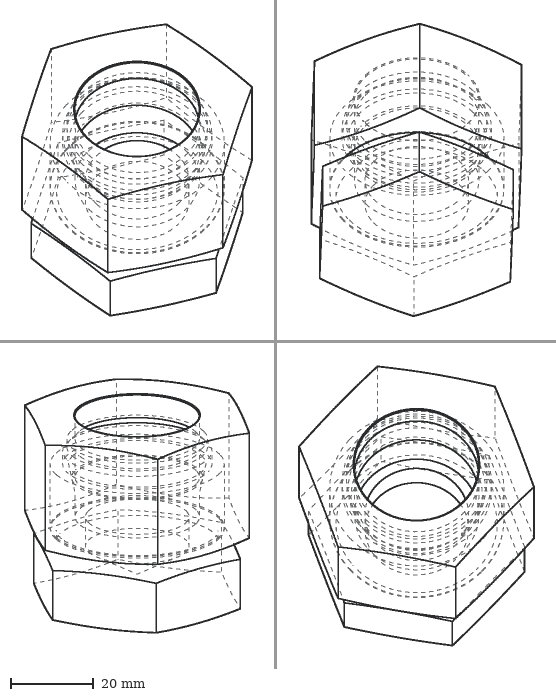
import cadquery as cq
import math


nut_corner_dia = 57.75
nut_height = 29.0
nut_chamfer_angle = 15.0
plug_flat_width = 46.0
plug_corner_dia = plug_flat_width / math.cos(math.radians(30))
plug_hex_height = 13.95
plug_chamfer_angle = 10.0

hex_gap = 4.05
nut_bottom = plug_hex_height + hex_gap
total_height = nut_bottom + nut_height
shoulder_z = total_height - 6.05
ring_top = total_height - 8.1
ring_bottom = total_height - 15.9
spigot_top = total_height - 12.4
seat_bottom = total_height - 19.15
lead_bottom = total_height - 20.1
tube_stop_z = total_height - 26.0
drill_bottom = total_height - 33.5

tube_radius = 30.0 / 2
tube_chamfer = 0.25
recess_radius = 17.0
collar_radius = 36.0 / 2
spigot_radius = 42.0 / 2
neck_radius = 39.0 / 2
neck_fillet = 1.0
neck_cover = 0.4
drill_radius = 25.0 / 2
ring_edge_radius = 0.6
seat_end_radius = 15.1

seat_angle = 12.0
drill_tip_angle = 30.0
drill_tip_z = drill_bottom - drill_radius * math.tan(math.radians(drill_tip_angle))
collar_cone_bottom = ring_top - (collar_radius - recess_radius)
neck_fillet_top = nut_bottom + neck_cover


def seat_radius(z):
    """Radius of the sealing cone at height z."""
    return seat_end_radius + (z - seat_bottom) * math.tan(math.radians(seat_angle))


def revolve_profile(points):
    """Turn a closed (radius, z) outline around the Z axis."""
    return turn(cq.Workplane("XZ").polyline(points).close())


def turn(outline):
    """Turn a closed XZ outline around the Z axis."""
    return outline.revolve(360, (0, 0, 0), (0, 1, 0))


def chamfered_hexagon(corner_dia, bottom, height, angle):
    """Hexagonal prism whose corners are turned off conically at both ends."""
    corner_radius = corner_dia / 2
    flat_radius = corner_radius * math.cos(math.radians(30))
    drop = (corner_radius - flat_radius) * math.tan(math.radians(angle))
    top = bottom + height
    prism = cq.Workplane("XY").workplane(offset=bottom).polygon(6, corner_dia).extrude(height)
    envelope = revolve_profile([
        (0, bottom),
        (flat_radius, bottom),
        (corner_radius, bottom + drop),
        (corner_radius, top - drop),
        (flat_radius, top),
        (0, top),
    ])
    return prism.intersect(envelope)


def make_nut():
    """Union nut with tube hole, ring recess and spigot bore."""
    blank = chamfered_hexagon(nut_corner_dia, nut_bottom, nut_height, nut_chamfer_angle)
    cavity = revolve_profile([
        (0, nut_bottom),
        (spigot_radius, nut_bottom),
        (spigot_radius, spigot_top),
        (collar_radius, spigot_top),
        (collar_radius, collar_cone_bottom),
        (recess_radius, ring_top),
        (recess_radius, shoulder_z),
        (tube_radius, shoulder_z),
        (tube_radius, total_height - tube_chamfer),
        (tube_radius + tube_chamfer, total_height),
        (0, total_height),
    ])
    return blank.cut(cavity)


def make_cutting_ring():
    """Ring with a collar under the nut and a taper in the plug's sealing cone."""
    arc_offset = ring_edge_radius * (1 - math.sqrt(0.5))
    outline = (
        cq.Workplane("XZ")
        .moveTo(tube_radius, ring_bottom)
        .lineTo(seat_radius(ring_bottom), ring_bottom)
        .lineTo(seat_radius(spigot_top), spigot_top)
        .lineTo(collar_radius, spigot_top)
        .lineTo(collar_radius, collar_cone_bottom)
        .lineTo(recess_radius, ring_top)
        .lineTo(tube_radius + ring_edge_radius, ring_top)
        .threePointArc(
            (tube_radius + arc_offset, ring_top - arc_offset),
            (tube_radius, ring_top - ring_edge_radius),
        )
        .close()
    )
    return turn(outline)


def make_spigot():
    """Round spigot with a relieved neck, filleted at both ends."""
    arc_offset = neck_fillet * (1 - math.sqrt(0.5))
    fillet_outer_radius = neck_radius + neck_fillet
    outline = (
        cq.Workplane("XZ")
        .moveTo(0, plug_hex_height)
        .lineTo(fillet_outer_radius, plug_hex_height)
        .threePointArc(
            (neck_radius + arc_offset, plug_hex_height + arc_offset),
            (neck_radius, plug_hex_height + neck_fillet),
        )
        .lineTo(neck_radius, neck_fillet_top - neck_fillet)
        .threePointArc(
            (neck_radius + arc_offset, neck_fillet_top - arc_offset),
            (fillet_outer_radius, neck_fillet_top),
        )
        .lineTo(spigot_radius, neck_fillet_top)
        .lineTo(spigot_radius, spigot_top)
        .lineTo(0, spigot_top)
        .close()
    )
    return turn(outline)


def make_plug():
    """Hexagonal plug body with a blind stepped socket for the tube."""
    hexagon = chamfered_hexagon(plug_corner_dia, 0, plug_hex_height, plug_chamfer_angle)
    socket = revolve_profile([
        (0, drill_tip_z),
        (drill_radius, drill_bottom),
        (drill_radius, tube_stop_z),
        (tube_radius, tube_stop_z),
        (tube_radius, lead_bottom),
        (seat_end_radius, seat_bottom),
        (seat_radius(spigot_top), spigot_top),
        (0, spigot_top),
    ])
    return hexagon.union(make_spigot()).cut(socket)


nut = make_nut()
cutting_ring = make_cutting_ring()
plug = make_plug()

result = cq.Compound.makeCompound([nut.val(), cutting_ring.val(), plug.val()])